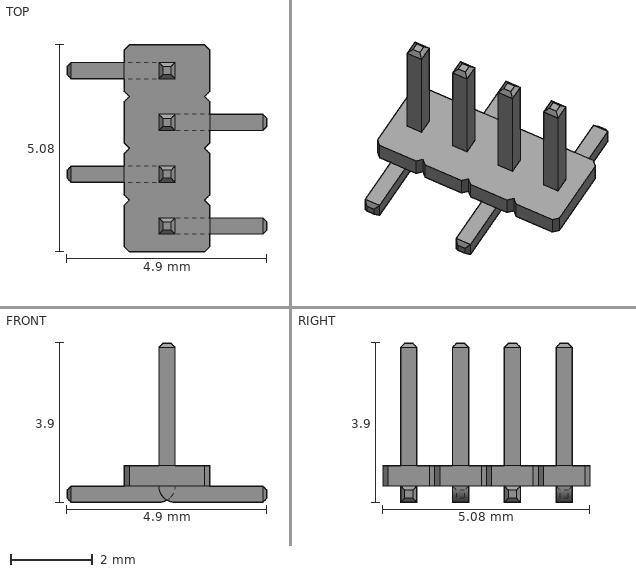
import cadquery as cq

pin_count = 4
pitch = 1.27
body_width = 2.1
body_height = 0.5
corner_cut = 0.125
pin_size = 0.4
post_height = 3.0
foot_span = 4.9
taper = 0.1

half_pin = pin_size / 2
tip_size = pin_size - 2 * taper
post_shoulder = body_height + post_height - taper
foot_shoulder = foot_span / 2 - taper
first_pin_y = (1 - pin_count) * pitch / 2
pin_places = [first_pin_y + index * pitch for index in range(pin_count)]


def make_body():
    """Row of chamfered segments, leaving V notches between neighbours."""
    segment = (
        cq.Workplane("XY")
        .box(body_width, pitch, body_height, centered=(True, True, False))
        .edges("|Z")
        .chamfer(corner_cut)
    )
    body = cq.Workplane("XY")
    for pin_y in pin_places:
        body = body.union(segment.translate((0, pin_y, 0)))
    return body


def make_taper(plane):
    """Truncated pyramid standing on the given plane."""
    return (
        cq.Workplane(plane)
        .rect(pin_size, pin_size)
        .workplane(offset=taper)
        .rect(tip_size, tip_size)
        .loft(ruled=True)
    )


def make_pin():
    """L-shaped square pin whose foot points towards +X."""
    bend_leg = pin_size * 0.5 ** 0.5
    shaft = (
        cq.Workplane("XZ")
        .moveTo(-half_pin, 0)
        .threePointArc((half_pin - bend_leg, -bend_leg), (half_pin, -pin_size))
        .lineTo(foot_shoulder, -pin_size)
        .lineTo(foot_shoulder, 0)
        .lineTo(half_pin, 0)
        .lineTo(half_pin, post_shoulder)
        .lineTo(-half_pin, post_shoulder)
        .close()
        .extrude(half_pin, both=True)
    )
    post_tip = make_taper("XY").translate((0, 0, post_shoulder))
    foot_tip = make_taper("YZ").translate((foot_shoulder, 0, -half_pin))
    return shaft.union(post_tip).union(foot_tip)


result = make_body()
pin = make_pin()
for index, pin_y in enumerate(pin_places):
    turn = 180 * (index % 2)
    turned_pin = pin.rotate((0, 0, 0), (0, 0, 1), turn)
    result = result.union(turned_pin.translate((0, pin_y, 0)))